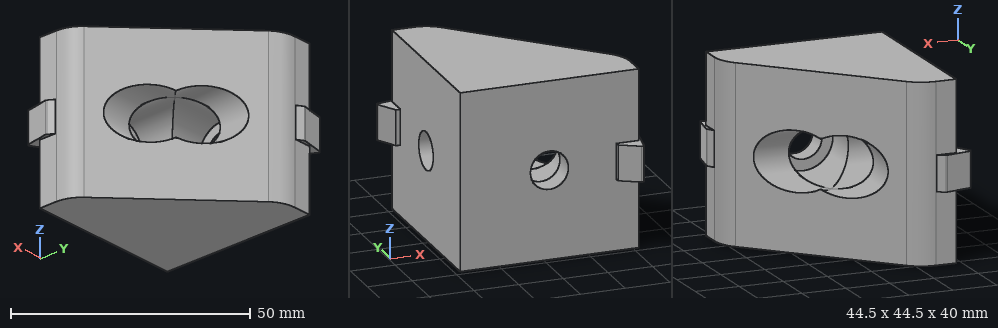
import cadquery as cq
import math

LEG = 40.0
SHORT_SIDE = 8.0
CORNER_RADIUS = 8.0

HOLE_DIAMETER = 8.5
HEAD_DIAMETER = 13.5
SEAT_DEPTH = 5.0

TAB_WIDTH = 8.0
TAB_START = 35.0
TAB_STEP = 1.0
TAB_REACH = 3.5
TAB_OVERHANG = 1.0
TAB_FLANK_ANGLE = 29.8
TAB_RUN_OUT_ANGLE = 30.0
TAB_END_ANGLE = 10.2
TAB_EDGE_RADIUS = 0.5

MIDDLE = LEG / 2


def tan_deg(angle):
    return math.tan(math.radians(angle))


def round_upright_edges(shape, places, radius):
    for x, y in places:
        edge = cq.selectors.NearestToPointSelector((x, y, MIDDLE))
        shape = shape.edges(edge).fillet(radius)
    return shape


def make_block():
    block = (
        cq.Workplane("XY")
        .polyline([(0, 0), (LEG, 0), (LEG, SHORT_SIDE), (SHORT_SIDE, LEG), (0, LEG)])
        .close()
        .extrude(LEG)
    )
    return round_upright_edges(block, [(LEG, SHORT_SIDE), (SHORT_SIDE, LEG)], CORNER_RADIUS)


def rounding_setback(corner_angle, tilt):
    """Distance by which the tab's edge rounding pulls a corner back from its sharp point.

    The tilt is the angle between the corner's bisector and the measured direction.
    """
    half_angle = math.radians(corner_angle / 2)
    return TAB_EDGE_RADIUS * (math.cos(math.radians(tilt)) / math.sin(half_angle) - 1)


def make_tab():
    """Tab at the end of the Y leg, standing out from the X = 0 face."""
    tip_angle = 90 - TAB_FLANK_ANGLE + TAB_END_ANGLE
    tip_x = -TAB_REACH - rounding_setback(tip_angle, tip_angle / 2 - TAB_END_ANGLE)
    tip_y = TAB_START - (tip_x + TAB_STEP) / tan_deg(TAB_FLANK_ANGLE)

    peak_angle = 180 - TAB_END_ANGLE - TAB_RUN_OUT_ANGLE
    peak_tilt = (TAB_RUN_OUT_ANGLE - TAB_END_ANGLE) / 2
    peak_y = LEG + TAB_OVERHANG + rounding_setback(peak_angle, peak_tilt)
    peak_x = tip_x + (peak_y - tip_y) / tan_deg(TAB_END_ANGLE)
    run_out_x = peak_x + (peak_y - LEG) / tan_deg(TAB_RUN_OUT_ANGLE)

    outline = [
        (0, TAB_START),
        (-TAB_STEP, TAB_START),
        (tip_x, tip_y),
        (peak_x, peak_y),
        (run_out_x, LEG),
        (run_out_x, TAB_START),
    ]
    tab = (
        cq.Workplane("XY", origin=(0, 0, MIDDLE - TAB_WIDTH / 2))
        .polyline(outline)
        .close()
        .extrude(TAB_WIDTH)
    )
    return round_upright_edges(tab, [(tip_x, tip_y), (peak_x, peak_y)], TAB_EDGE_RADIUS)


def make_hole_cutter():
    """Stepped cutter for the screw hole that runs along X from the X = 0 face."""
    hole = cq.Workplane("YZ").center(MIDDLE, MIDDLE).circle(HOLE_DIAMETER / 2).extrude(LEG)
    head = (
        cq.Workplane("YZ", origin=(SEAT_DEPTH, 0, 0))
        .center(MIDDLE, MIDDLE)
        .circle(HEAD_DIAMETER / 2)
        .extrude(LEG - SEAT_DEPTH)
    )
    return hole.union(head)


def swap_x_and_y(shape):
    """Mirror image in the plane X = Y, about which the part is symmetric."""
    return shape.rotate((0, 0, 0), (0, 0, 1), -90).mirror("XZ")


tab = make_tab()
hole_cutter = make_hole_cutter()

result = make_block()
for shape in (tab, swap_x_and_y(tab)):
    result = result.union(shape)
for shape in (hole_cutter, swap_x_and_y(hole_cutter)):
    result = result.cut(shape)